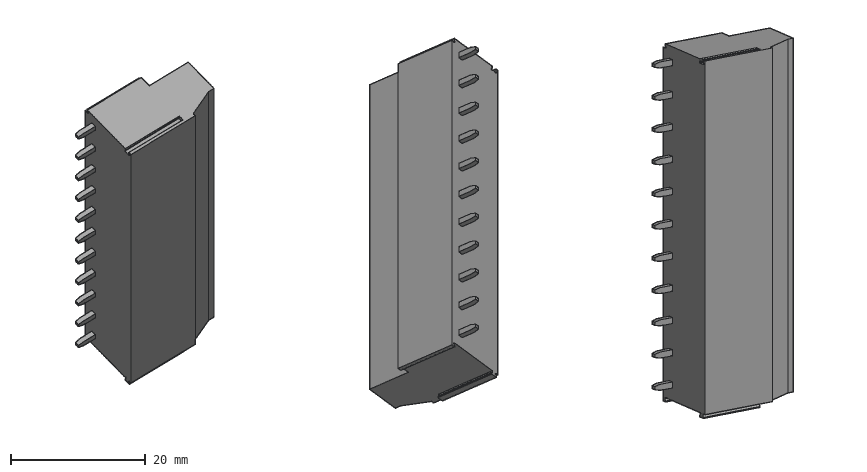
import cadquery as cq

total_height = 55.65
width = 11.2
total_depth = 20.55
pin_length = 3.1
rail_height = 0.65
body_height = total_height - rail_height
body_depth = total_depth - pin_length

shoulder_depth = 10.15
shoulder_width = 2.5
top_edge = 8.8
slope_start = 16.4
slope_end_x = 10.7
slope_end_y = 12.1

neck_height = 0.15
flare_end = 0.5
flare = 0.2
mouth_bevel = 0.1
edge_neck_width = 0.45
inner_neck_start = 9.9
inner_neck_end = 10.6

pin_count = 11
pin_pitch = 5.0
first_pin_z = (body_height - (pin_count - 1) * pin_pitch) / 2
pin_width = 0.85
pin_thickness = 0.95
pin_tip_width = 0.7
pin_tip_thickness = 0.5
pin_taper = 0.9
pin_center_x = 2.05


def make_housing():
    """Stepped and sloped outline extruded along the row of pins."""
    return (
        cq.Workplane("XY")
        .moveTo(0, 0)
        .lineTo(width, 0)
        .lineTo(width, slope_end_y)
        .lineTo(slope_end_x, slope_end_y)
        .lineTo(top_edge, slope_start)
        .lineTo(top_edge, body_depth)
        .lineTo(shoulder_width, body_depth)
        .lineTo(shoulder_width, shoulder_depth)
        .lineTo(0, shoulder_depth)
        .close()
        .extrude(body_height)
    )


def make_dovetails(base_z):
    """Two dovetail bars hanging down from base_z, as deep as the shoulder."""
    neck_z = base_z - neck_height
    flare_z = base_z - flare_end
    bottom_z = base_z - rail_height
    edge_bar = [
        (0, base_z),
        (edge_neck_width + mouth_bevel, base_z),
        (edge_neck_width, neck_z),
        (edge_neck_width + flare, flare_z),
        (edge_neck_width + flare, bottom_z),
        (0, bottom_z),
    ]
    inner_bar = [
        (inner_neck_start - mouth_bevel, base_z),
        (inner_neck_end + mouth_bevel, base_z),
        (inner_neck_end, neck_z),
        (inner_neck_end + flare, flare_z),
        (inner_neck_end + flare, bottom_z),
        (inner_neck_start - flare, bottom_z),
        (inner_neck_start - flare, flare_z),
        (inner_neck_start, neck_z),
    ]
    edge_rail = cq.Workplane("XZ").polyline(edge_bar).close().extrude(-shoulder_depth)
    inner_rail = cq.Workplane("XZ").polyline(inner_bar).close().extrude(-shoulder_depth)
    return edge_rail.add(inner_rail).combine()


def make_pin(center_z):
    """Rectangular pin pointing to -Y, with a tapered tip."""
    shank_length = pin_length - pin_taper
    shank = (
        cq.Workplane("XZ")
        .center(pin_center_x, center_z)
        .rect(pin_width, pin_thickness)
        .extrude(shank_length)
    )
    tip = (
        cq.Workplane("XZ", origin=(0, -shank_length, 0))
        .center(pin_center_x, center_z)
        .rect(pin_width, pin_thickness)
        .workplane(offset=pin_taper)
        .rect(pin_tip_width, pin_tip_thickness)
        .loft(ruled=True)
    )
    return shank.union(tip)


result = make_housing().union(make_dovetails(0)).cut(make_dovetails(body_height))
for index in range(pin_count):
    result = result.union(make_pin(first_pin_z + index * pin_pitch))